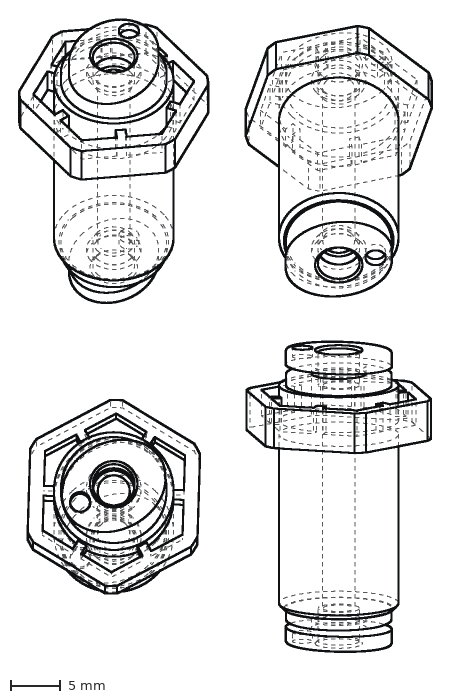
import cadquery as cq
import math

total_height = 30.0
button_thickness = 1.6
collar_depth = 2.4
housing_depth = 3.6
half_height = total_height / 2
housing_end = half_height - housing_depth
collar_end = half_height - collar_depth

button_width = 8.6
button_length = 10.8
button_fillet = 0.25
neck_diameter = 5.5
neck_fillet = 0.05
button_bore_diameter = 4.2
bore_chamfer = 0.27
dimple_diameter = 2.0
dimple_offset = 3.8
dimple_depth = 0.9

collar_diameter = 10.6
collar_bore_diameter = 4.17
collar_fillet = 0.1

barrel_diameter = 12.0
tube_bore_diameter = 3.2
barrel_chamfer = 0.5

hex_across_flats = 17.0
hex_corner_diameter = 19.0
hex_height = 4.05
hex_top = half_height - 4.55
hex_wall = 1.5
pocket_depth = 2.65
rib_width = 1.0
flat_count = 6


def cylinder(diameter, bottom, top):
    """Upright cylinder on the Z axis between two heights."""
    return cq.Workplane("XY").workplane(offset=bottom).circle(diameter / 2).extrude(top - bottom)


def hex_prism(across_flats, bottom, top):
    """Upright hexagonal prism with two of its corners on the Y axis."""
    across_corners = across_flats / math.cos(math.pi / flat_count)
    prism = cq.Workplane("XY").polygon(flat_count, across_corners).extrude(top - bottom)
    return prism.rotate((0, 0, 0), (0, 0, 1), 180 / flat_count).translate((0, 0, bottom))


def make_flange():
    """Hexagon with turned-down corners and six pockets separated by ribs."""
    hex_bottom = hex_top - hex_height
    flange = hex_prism(hex_across_flats, hex_bottom, hex_top)
    flange = flange.intersect(cylinder(hex_corner_diameter, hex_bottom, hex_top))

    pocket_floor = hex_top - pocket_depth
    pockets = hex_prism(hex_across_flats - 2 * hex_wall, pocket_floor, hex_top)
    for index in range(flat_count // 2):
        rib = cq.Workplane("XY").box(hex_across_flats, rib_width, pocket_depth, centered=(True, True, False))
        rib = rib.rotate((0, 0, 0), (0, 0, 1), index * 360 / flat_count)
        pockets = pockets.cut(rib.translate((0, 0, pocket_floor)))
    return flange.cut(pockets)


def make_housing():
    """Barrel with its hexagonal flange and the tube bore right through."""
    barrel = cylinder(barrel_diameter, -housing_end, housing_end)
    barrel = barrel.faces("<Z").edges().chamfer(barrel_chamfer)
    bore = cylinder(tube_bore_diameter, -housing_end, housing_end)
    return barrel.union(make_flange()).cut(bore)


def make_collar():
    """Ring on the upper end face of the housing."""
    collar = cylinder(collar_diameter, housing_end, collar_end)
    collar = collar.faces(">Z").edges().fillet(collar_fillet)
    return collar.cut(cylinder(collar_bore_diameter, housing_end, collar_end))


def make_button():
    """Oval release button whose neck stands on the upper collar."""
    underside = half_height - button_thickness
    plate = cq.Workplane("XY").workplane(offset=underside)
    plate = plate.ellipse(button_width / 2, button_length / 2).extrude(button_thickness)
    plate = plate.faces(">Z").edges().fillet(button_fillet)
    button = plate.union(cylinder(neck_diameter, collar_end, underside))
    neck_root = cq.selectors.BoxSelector(
        (-neck_diameter, -neck_diameter, underside - neck_fillet),
        (neck_diameter, neck_diameter, underside + neck_fillet),
    )
    button = button.edges("%CIRCLE").edges(neck_root).fillet(neck_fillet)

    button = button.cut(cylinder(button_bore_diameter, collar_end, half_height))
    bore_rim = cq.selectors.RadiusNthSelector(0)
    button = button.faces(">Z").edges("%CIRCLE").edges(bore_rim).chamfer(bore_chamfer)

    dimple = cylinder(dimple_diameter, half_height - dimple_depth, half_height)
    return button.cut(dimple.translate((0, dimple_offset, 0)))


def at_both_ends(upper_body):
    """The upper body and its copy turned over to the lower end."""
    return [upper_body.rotate((0, 0, 0), (0, 1, 0), turn).val() for turn in (0, 180)]


housing = make_housing()
collars = at_both_ends(make_collar())
buttons = at_both_ends(make_button())

result = cq.Compound.makeCompound([housing.val(), *collars, *buttons])